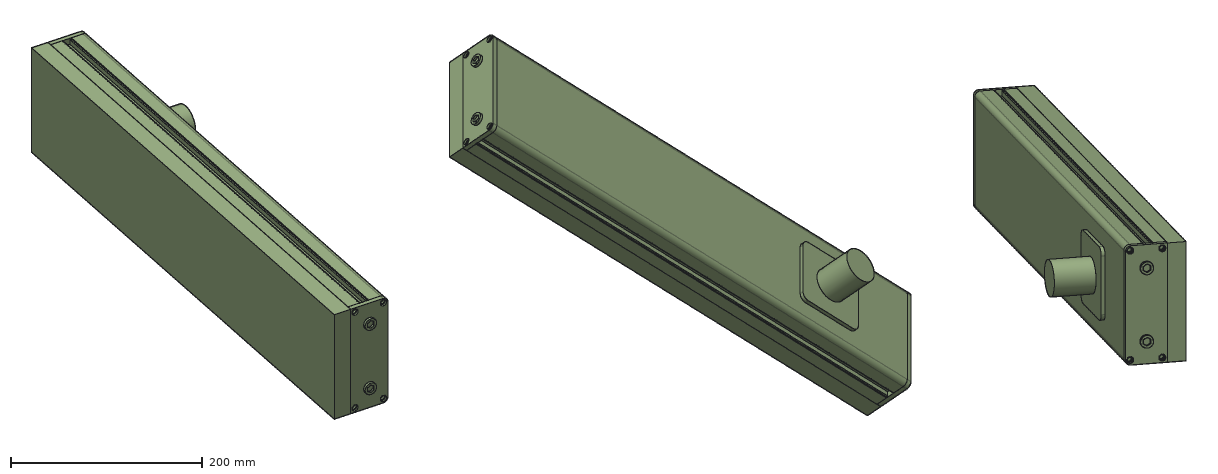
import cadquery as cq

overall_length = 610.0
overall_depth = 115.0
height = 130.0
bolt_head_height = 3.0
body_length = overall_length - 2 * bolt_head_height

front_block_depth = 20.0
rear_depth = 46.0
flange_thickness = 4.0
rear_face_y = front_block_depth + rear_depth
middle_z = height / 2

plate_thickness = 5.5
rear_corner_radius = 6.0
housing_length = body_length - 2 * plate_thickness

slot_width = 7.5
slot_depth = 7.5
slot_step_width = 2.0
slot_step_depth = 1.5
slot_y = front_block_depth + (rear_depth - rear_corner_radius) / 2

bolt_head_diameter = 14.0
bolt_spacing = 80.0
socket_across_flats = 8.0
socket_depth = 2.5
socket_sides = 6
bolt_y = front_block_depth + rear_depth / 2

corner_hole_inset = 5.5
corner_hole_diameter = 5.0
counterbore_diameter = 7.5
counterbore_depth = 2.5

post_x = -182.0
post_diameter = 39.5
flange_side = 80.0
flange_corner_radius = 8.0
post_length = overall_depth - rear_face_y - flange_thickness


def rear_bar(x_start, length):
    """Bar behind the front block with its two rear edges rounded."""
    bar = cq.Workplane("XY").box(length, rear_depth, height, centered=False)
    bar = bar.edges(">Y and |X").fillet(rear_corner_radius)
    return bar.translate((x_start, front_block_depth, 0))


def make_front_block():
    block = cq.Workplane("XY").box(body_length, front_block_depth, height, centered=False)
    return block.translate((-body_length / 2, 0, 0))


def groove_cutter(width, depth):
    """Groove of rectangular section, sunk into the upper face of the housing."""
    groove = cq.Workplane("XY").box(housing_length, width, depth, centered=(True, True, False))
    return groove.translate((0, slot_y, height - depth))


def slot_cutter():
    """Slot with a wider, shallow step at its mouth."""
    mouth_width = slot_width + 2 * slot_step_width
    return groove_cutter(slot_width, slot_depth).union(groove_cutter(mouth_width, slot_step_depth))


def make_housing():
    upper_slot = slot_cutter()
    lower_slot = upper_slot.mirror("XY", (0, 0, middle_z))
    housing = rear_bar(-housing_length / 2, housing_length)
    return housing.cut(upper_slot).cut(lower_slot)


def make_left_end_plate():
    outer_x = -body_length / 2
    plate = rear_bar(outer_x, plate_thickness)

    outer_face = cq.Workplane(
        cq.Plane(origin=(outer_x, bolt_y, middle_z), xDir=(0, -1, 0), normal=(-1, 0, 0))
    )
    hole_spacing_y = rear_depth - 2 * corner_hole_inset
    hole_spacing_z = height - 2 * corner_hole_inset
    holes = outer_face.rarray(hole_spacing_y, hole_spacing_z, 2, 2)
    through_holes = holes.circle(corner_hole_diameter / 2).extrude(-plate_thickness)
    counterbores = holes.circle(counterbore_diameter / 2).extrude(-counterbore_depth)
    plate = plate.cut(through_holes).cut(counterbores)

    head_positions = outer_face.rarray(6, bolt_spacing, 1, 2)
    heads = head_positions.circle(bolt_head_diameter / 2).extrude(bolt_head_height)
    plate = plate.union(heads)

    socket = (
        outer_face.workplane(offset=bolt_head_height)
        .polygon(socket_sides, socket_across_flats, circumscribed=True)
        .extrude(-socket_depth)
    )
    for side in (-1, 1):
        plate = plate.cut(socket.translate((0, 0, side * bolt_spacing / 2)))
    return plate


def make_mounting_post():
    flange = (
        cq.Workplane("XZ", origin=(post_x, rear_face_y, middle_z))
        .rect(flange_side, flange_side)
        .extrude(-flange_thickness)
        .edges("|Y")
        .fillet(flange_corner_radius)
    )
    post = (
        cq.Workplane("XZ", origin=(post_x, rear_face_y + flange_thickness, middle_z))
        .circle(post_diameter / 2)
        .extrude(-post_length)
    )
    return flange.union(post)


front_block = make_front_block()
housing = make_housing()
left_end_plate = make_left_end_plate()
right_end_plate = left_end_plate.mirror("YZ")
mounting_post = make_mounting_post()

result = cq.Compound.makeCompound([
    front_block.val(),
    housing.val(),
    left_end_plate.val(),
    right_end_plate.val(),
    mounting_post.val(),
])